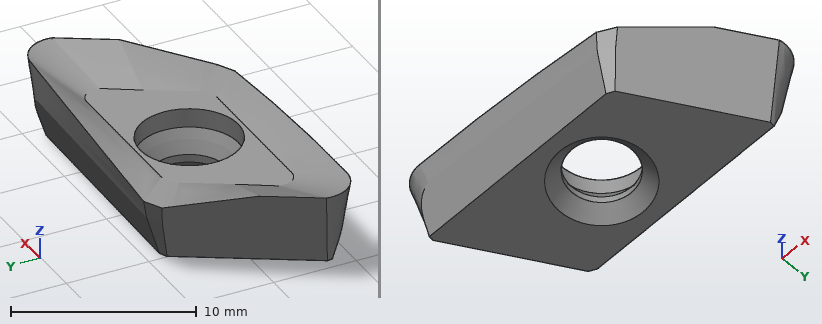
import cadquery as cq


HEIGHT = 5.0
CORNER_HEIGHT = 3.85
FLOOR_HEIGHT = 3.78
RELIEF_CORNER_HEIGHT = 2.6
RELIEF_NOSE_HEIGHT = 2.95

SEAT_DIAMETER = 5.95
SEAT_STEP_DIAMETER = 5.2
BORE_DIAMETER = 4.38
SEAT_BOTTOM = 2.63
SEAT_STEP_HEIGHT = 2.08
BORE_TOP = 1.37
UNDERSIDE_SINK_DEPTH = 0.9

FLANK_BOTTOM_X = -9.3
FLANK_BOTTOM_Y = -3.6
FLANK_X_PER_Y = 0.58
FLANK_X_PER_Z = -0.4

FRONT_BOTTOM_X = -9.27
FRONT_BOTTOM_Y = -3.93
FRONT_Y_PER_X = -0.013
FRONT_Y_PER_Z = -0.34


def end_flank_point(y, z):
    """Point of the left end flank at the given Y and Z."""
    x = FLANK_BOTTOM_X + FLANK_X_PER_Y * (y - FLANK_BOTTOM_Y) + FLANK_X_PER_Z * z
    return cq.Vector(x, y, z)


def front_flank_point(x, z):
    """Point of the lower front flank at the given X and Z."""
    y = FRONT_BOTTOM_Y + FRONT_Y_PER_X * (x - FRONT_BOTTOM_X) + FRONT_Y_PER_Z * z
    return cq.Vector(x, y, z)


def floor_point(x, y):
    return cq.Vector(x, y, FLOOR_HEIGHT)


def opposite(point):
    """The same point after a half turn about Z."""
    return cq.Vector(-point.x, -point.y, point.z)


def line(start, end):
    return cq.Edge.makeLine(start, end)


def arc(start, middle, end):
    return cq.Edge.makeThreePointArc(start, middle, end)


def ruled(first, second):
    return cq.Face.makeRuledSurface(first, second)


def flat(*points):
    """Plane polygon face through the points."""
    return cq.Face.makeFromWires(cq.Wire.makePolygon(points, close=True))


def half_turn(shape):
    return shape.rotate(cq.Vector(0, 0, 0), cq.Vector(0, 0, 1), 180)


rim_bend = end_flank_point(0.37, HEIGHT)
rim_nose_start = end_flank_point(-2.78, HEIGHT)
rim_nose_middle = cq.Vector(-10.3, -4.4, HEIGHT)
rim_nose_end = cq.Vector(-8.95, -4.97, HEIGHT)
rim_front_middle = cq.Vector(-2.06, -5.2, 4.54)
rim_corner_front = cq.Vector(4.95, -5.3, CORNER_HEIGHT)
rim_corner_end = opposite(end_flank_point(4.73, CORNER_HEIGHT))

RAMP_STRIP_SHARE = 0.12
rim_ramp_start = rim_corner_end + (opposite(rim_bend) - rim_corner_end) * RAMP_STRIP_SHARE

floor_bend = floor_point(-5.51, 0.02)
floor_nose_start = floor_point(-6.73, -1.97)
floor_nose_middle = floor_point(-6.65, -2.75)
floor_nose_end = floor_point(-5.9, -3.23)
floor_corner_front = floor_point(3.08, -3.23)
floor_corner_middle = floor_point(3.43, -3.17)
floor_corner_end = floor_point(3.73, -2.97)
floor_ramp_start = floor_point(4.01, -2.65)

relief_nose = front_flank_point(-8.3, RELIEF_NOSE_HEIGHT)
relief_nose_upper = front_flank_point(-9.0, 2.39)
relief_nose_lower = front_flank_point(-9.29, 1.08)
relief_corner_front = front_flank_point(4.73, RELIEF_CORNER_HEIGHT)
relief_corner_end = opposite(end_flank_point(4.51, RELIEF_CORNER_HEIGHT))

bottom_nose_start = end_flank_point(FLANK_BOTTOM_Y, 0)
bottom_nose_end = front_flank_point(FRONT_BOTTOM_X, 0)
bottom_corner_front = front_flank_point(4.5, 0)
bottom_corner_end = opposite(end_flank_point(3.88, 0))

rim_nose = arc(rim_nose_start, rim_nose_middle, rim_nose_end)
rim_front = arc(rim_nose_end, rim_front_middle, rim_corner_front)
floor_nose = arc(floor_nose_start, floor_nose_middle, floor_nose_end)
floor_front = line(floor_nose_end, floor_corner_front)
floor_corner = arc(floor_corner_front, floor_corner_middle, floor_corner_end)
relief_front = line(relief_nose, relief_corner_front)
relief_end = cq.Edge.makeSpline(
    [bottom_nose_end, relief_nose_lower, relief_nose_upper, relief_nose]
)


def chip_breaker_faces():
    """Slopes between the cutting rim and the sunken floor."""
    rim_corner = line(rim_corner_front, rim_corner_end)
    ramp_strip_rim = line(rim_corner_end, rim_ramp_start)
    ramp_strip_floor = line(floor_corner_end, floor_ramp_start)
    ramp_rim = line(rim_ramp_start, opposite(rim_bend))
    ramp_floor = line(floor_ramp_start, opposite(floor_bend))
    return [
        ruled(line(rim_bend, rim_nose_start), line(floor_bend, floor_nose_start)),
        ruled(rim_nose, floor_nose),
        ruled(rim_front, floor_front),
        ruled(rim_corner, floor_corner),
        ruled(ramp_strip_rim, ramp_strip_floor),
        ruled(ramp_rim, ramp_floor),
    ]


def side_faces():
    """Nose, front flank, obtuse corner and left end flank."""
    front_outline = cq.Wire.assembleEdges([
        relief_end,
        relief_front,
        line(relief_corner_front, bottom_corner_front),
        line(bottom_corner_front, bottom_nose_end),
    ])
    rim_corner = line(rim_corner_front, rim_corner_end)
    relief_corner = line(relief_corner_front, relief_corner_end)
    bottom_corner = line(bottom_corner_front, bottom_corner_end)
    end_flank = flat(
        rim_bend,
        rim_nose_start,
        bottom_nose_start,
        opposite(bottom_corner_end),
        opposite(relief_corner_end),
        opposite(rim_corner_end),
        opposite(rim_ramp_start),
    )
    return [
        flat(rim_nose_start, bottom_nose_start, bottom_nose_end),
        ruled(rim_nose, relief_end),
        ruled(rim_front, relief_front),
        cq.Face.makeFromWires(front_outline),
        ruled(rim_corner, relief_corner),
        ruled(relief_corner, bottom_corner),
        end_flank,
    ]


def floor_face():
    half_outline = [
        line(floor_bend, floor_nose_start),
        floor_nose,
        floor_front,
        floor_corner,
        line(floor_corner_end, floor_ramp_start),
        line(floor_ramp_start, opposite(floor_bend)),
    ]
    outline = half_outline + [half_turn(edge) for edge in half_outline]
    return cq.Face.makeFromWires(cq.Wire.assembleEdges(outline))


def bottom_face():
    half_outline = [bottom_nose_start, bottom_nose_end, bottom_corner_front, bottom_corner_end]
    return flat(*half_outline, *[opposite(point) for point in half_outline])


def insert_body():
    half_faces = chip_breaker_faces() + side_faces()
    faces = half_faces + [half_turn(face) for face in half_faces]
    shell = cq.Shell.makeShell(faces + [floor_face(), bottom_face()])
    return cq.Workplane(cq.Solid.makeSolid(shell).fix())


def screw_hole():
    """Through bore with a two-step conical seat above and a countersink below."""
    return (
        cq.Workplane("XZ")
        .lineTo(BORE_DIAMETER / 2 + UNDERSIDE_SINK_DEPTH, 0)
        .lineTo(BORE_DIAMETER / 2, UNDERSIDE_SINK_DEPTH)
        .lineTo(BORE_DIAMETER / 2, BORE_TOP)
        .lineTo(SEAT_STEP_DIAMETER / 2, SEAT_STEP_HEIGHT)
        .lineTo(SEAT_DIAMETER / 2, SEAT_BOTTOM)
        .lineTo(SEAT_DIAMETER / 2, HEIGHT)
        .lineTo(0, HEIGHT)
        .close()
        .revolve(360, (0, 0, 0), (0, 1, 0))
    )


result = insert_body().cut(screw_hole())